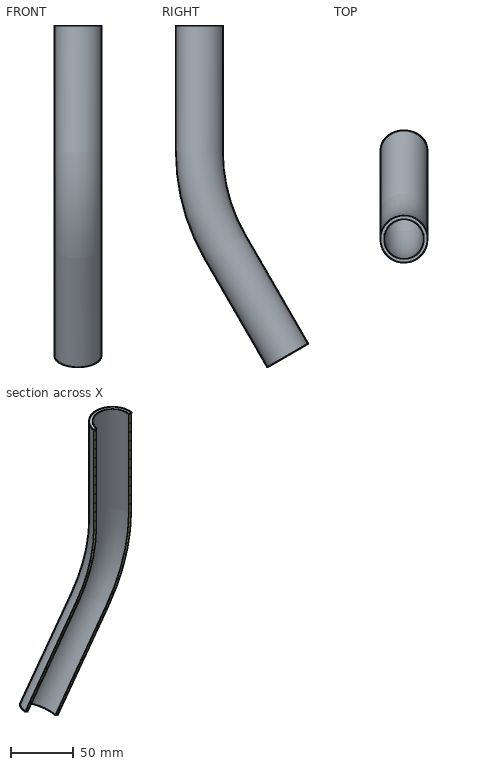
import cadquery as cq
import math

outer_diameter = 38.1
inner_diameter = 32.0
leg_length = 101.6
bend_radius = 4 * outer_diameter
bend_angle = 30.0


def bend_point(angle):
    """Point (y, z) on the bend centreline, at an angle from the bend's upper end."""
    turn = math.radians(angle)
    return (bend_radius * (1 - math.cos(turn)), -bend_radius * math.sin(turn))


def tube_centreline():
    """Path in the YZ plane: down the vertical leg, round the bend, along the sloping leg."""
    slope = math.radians(bend_angle)
    bend_end_y, bend_end_z = bend_point(bend_angle)
    foot = (
        bend_end_y + leg_length * math.sin(slope),
        bend_end_z - leg_length * math.cos(slope),
    )
    return (
        cq.Workplane("YZ")
        .moveTo(0, leg_length)
        .lineTo(0, 0)
        .threePointArc(bend_point(bend_angle / 2), (bend_end_y, bend_end_z))
        .lineTo(*foot)
    )


ring_section = (
    cq.Workplane("XY", origin=(0, 0, leg_length))
    .circle(outer_diameter / 2)
    .circle(inner_diameter / 2)
)
result = ring_section.sweep(tube_centreline())